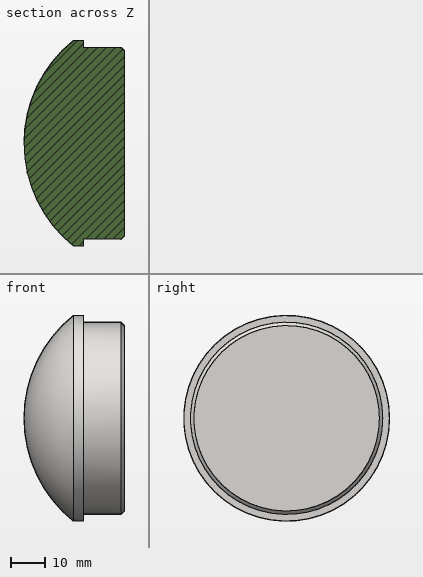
import cadquery as cq
import math

flange_diameter = 60.3
flange_thickness = 3.0
plug_diameter = 56.3
plug_length = 12.0
dome_height = 14.5
plug_chamfer = 1.0

flange_radius = flange_diameter / 2
plug_radius = plug_diameter / 2
dome_radius = (flange_radius**2 + dome_height**2) / (2 * dome_height)

dome_apex_x = -dome_height
plug_start_x = flange_thickness
plug_end_x = plug_start_x + plug_length


def dome_arc_midpoint():
    """Point halfway along the dome arc, between the apex and the flange rim."""
    half_angle = math.asin(flange_radius / dome_radius) / 2
    x = dome_apex_x + dome_radius * (1 - math.cos(half_angle))
    return x, dome_radius * math.sin(half_angle)


def half_profile():
    """Closed outline of the dome, flange and chamfered plug above the axis."""
    return (
        cq.Workplane("XY")
        .moveTo(dome_apex_x, 0)
        .threePointArc(dome_arc_midpoint(), (0, flange_radius))
        .lineTo(plug_start_x, flange_radius)
        .lineTo(plug_start_x, plug_radius)
        .lineTo(plug_end_x - plug_chamfer, plug_radius)
        .lineTo(plug_end_x, plug_radius - plug_chamfer)
        .lineTo(plug_end_x, 0)
        .close()
    )


result = half_profile().revolve(360, (0, 0, 0), (1, 0, 0))